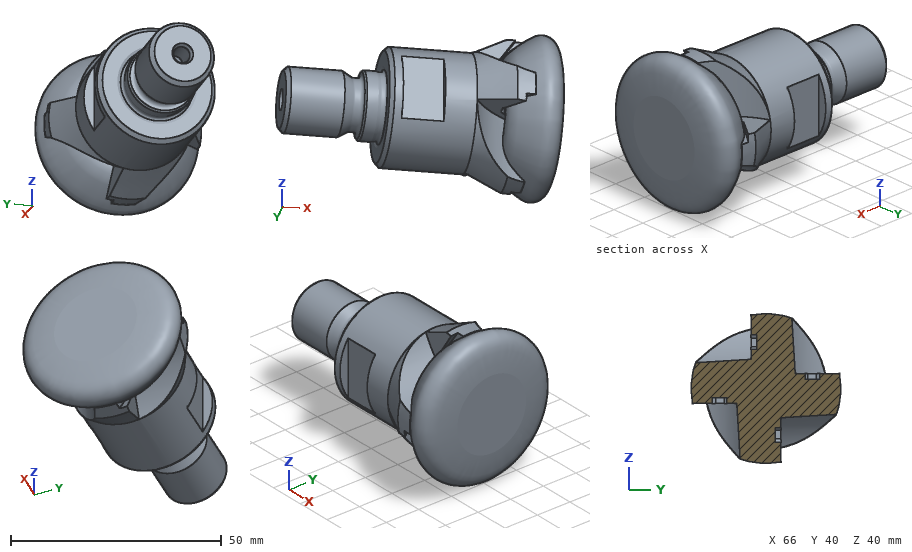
import cadquery as cq
import math

OVERALL_LENGTH = 66.0

STUD_RADIUS = 16.0 / 2
STUD_CHAMFER = 1.05
STUD_END = 14.0
NECK_RADIUS = 13.0 / 2
NECK_CONE_ANGLE = 30.0
NECK_BLEND = 1.0
NECK_END = 17.9
PILOT_START = 18.8
PILOT_RADIUS = 17.0 / 2
PILOT_CHAMFER = 0.45
PILOT_END = 22.05
RELIEF_RADIUS = 16.6 / 2
RELIEF_TAPER_ANGLE = 15.0
RELIEF_BLEND = 0.8
RELIEF_FILLET = 0.65
FACE_RELIEF_RADIUS = 9.8
FACE_RELIEF_DEPTH = 0.25

CENTRE_HOLE_DIAMETER = 4.0
CENTRE_SINK_DIAMETER = 5.15
CENTRE_HOLE_DEPTH = 7.9
CENTRE_SINK_ANGLE = 60.0
DRILL_POINT_ANGLE = 118.0

BODY_START = 23.85
BODY_RADIUS = 29.0 / 2
BODY_CHAMFER = 1.05
FLAT_START = 26.95
FLAT_LENGTH = 10.2
ACROSS_FLATS = 24.0

CONE_START = 44.75
LAND_START = 53.75
LAND_END = 58.15
LAND_RADIUS = 18.75
TOOTH_COUNT = 4
FACE_OFFSET_AT_CONE = 2.8
FACE_OFFSET_AT_LAND = 3.8
FLUTE_TOP = 13.4
FLUTE_MIDDLE_X = 52.3
FLUTE_MIDDLE = 5.95
FLUTE_BOTTOM = 3.55
FLUTE_TILT = 3.4
FLUTE_TILT_OFFSET = 15.85

SEAT_BACK_X = 51.3
SEAT_INNER = 8.9
SEAT_CORNER = 1.0
SEAT_OUTER = 11.95
SEAT_LAND_X = 56.1
SEAT_FLOOR_OFFSET = 2.25

RING_RECESS = (54.8, 7.6)
RING_BACK = (52.3, 11.2)
RING_BACK_CROWN = [(53.6, 14.8), (55.6, 16.65), (58.15, 18.55)]
RING_CREST = (61.5, 39.95 / 2)
RING_END_CROWN = [(63.85, 19.1), (65.4, 16.0)]
RING_END = (OVERALL_LENGTH, 10.55)

CUT_MARGIN = 3.3


def revolve_about_x(profile):
    return profile.close().revolve(360, (0, 0, 0), (1, 0, 0))


def blended_taper(start_x, start_radius, end_radius, angle_degrees, blend_radius):
    """Two points: where a taper meets its tangent blend arc, and where the arc meets the cylinder."""
    angle = math.radians(angle_degrees)
    taper_end_radius = end_radius + blend_radius * (1 - math.cos(angle))
    taper_end_x = start_x + (start_radius - taper_end_radius) / math.tan(angle)
    cylinder_x = taper_end_x + blend_radius * math.sin(angle)
    return (taper_end_x, taper_end_radius), (cylinder_x, end_radius)


def make_shank_and_cone():
    neck_fillet = PILOT_START - NECK_END
    neck_cone_end, neck_start = blended_taper(
        STUD_END, STUD_RADIUS, NECK_RADIUS, NECK_CONE_ANGLE, NECK_BLEND
    )
    relief_taper_end, relief_start = blended_taper(
        PILOT_END, PILOT_RADIUS, RELIEF_RADIUS, RELIEF_TAPER_ANGLE, RELIEF_BLEND
    )
    relief_floor = BODY_START + FACE_RELIEF_DEPTH
    profile = (
        cq.Workplane("XY")
        .moveTo(0, 0)
        .lineTo(0, STUD_RADIUS - STUD_CHAMFER)
        .lineTo(STUD_CHAMFER, STUD_RADIUS)
        .lineTo(STUD_END, STUD_RADIUS)
        .lineTo(*neck_cone_end)
        .radiusArc(neck_start, -NECK_BLEND)
        .lineTo(NECK_END, NECK_RADIUS)
        .radiusArc((PILOT_START, NECK_RADIUS + neck_fillet), -neck_fillet)
        .lineTo(PILOT_START, PILOT_RADIUS - PILOT_CHAMFER)
        .lineTo(PILOT_START + PILOT_CHAMFER, PILOT_RADIUS)
        .lineTo(PILOT_END, PILOT_RADIUS)
        .lineTo(*relief_taper_end)
        .radiusArc(relief_start, -RELIEF_BLEND)
        .lineTo(relief_floor - RELIEF_FILLET, RELIEF_RADIUS)
        .radiusArc((relief_floor, RELIEF_RADIUS + RELIEF_FILLET), -RELIEF_FILLET)
        .lineTo(BODY_START, FACE_RELIEF_RADIUS)
        .lineTo(BODY_START, BODY_RADIUS - BODY_CHAMFER)
        .lineTo(BODY_START + BODY_CHAMFER, BODY_RADIUS)
        .lineTo(CONE_START, BODY_RADIUS)
        .lineTo(LAND_START, LAND_RADIUS)
        .lineTo(LAND_END, LAND_RADIUS)
        .lineTo(LAND_END, 0)
    )
    return revolve_about_x(profile)


def make_ring():
    profile = (
        cq.Workplane("XY")
        .moveTo(RING_RECESS[0], 0)
        .lineTo(*RING_RECESS)
        .spline([RING_BACK, *RING_BACK_CROWN, RING_CREST, *RING_END_CROWN, RING_END], includeCurrent=True)
        .lineTo(OVERALL_LENGTH, 0)
    )
    return revolve_about_x(profile)


def make_centre_hole():
    hole_radius = CENTRE_HOLE_DIAMETER / 2
    sink_radius = CENTRE_SINK_DIAMETER / 2
    sink_depth = (sink_radius - hole_radius) / math.tan(math.radians(CENTRE_SINK_ANGLE / 2))
    point_depth = hole_radius / math.tan(math.radians(DRILL_POINT_ANGLE / 2))
    profile = (
        cq.Workplane("XY")
        .moveTo(0, 0)
        .lineTo(0, sink_radius)
        .lineTo(sink_depth, hole_radius)
        .lineTo(CENTRE_HOLE_DEPTH, hole_radius)
        .lineTo(CENTRE_HOLE_DEPTH + point_depth, 0)
    )
    return revolve_about_x(profile)


def make_wrench_flat(side):
    depth = BODY_RADIUS - ACROSS_FLATS / 2 + CUT_MARGIN
    middle_x = FLAT_START + FLAT_LENGTH / 2
    middle_y = side * (ACROSS_FLATS + depth) / 2
    return cq.Workplane("XY").box(FLAT_LENGTH, depth, 2 * BODY_RADIUS).translate((middle_x, middle_y, 0))


def make_flute():
    """Gap on the -Y side of the upper tooth: its flat face and the curved back of the next tooth."""
    reach = LAND_RADIUS + CUT_MARGIN
    face_slope = (FACE_OFFSET_AT_LAND - FACE_OFFSET_AT_CONE) / (LAND_START - CONE_START)
    end_x = LAND_END + CUT_MARGIN
    end_face_offset = FACE_OFFSET_AT_CONE + face_slope * (end_x - CONE_START)
    beyond_face = (
        cq.Workplane("XY")
        .polyline(
            [
                (CONE_START, -FACE_OFFSET_AT_CONE),
                (end_x, -end_face_offset),
                (end_x, -reach),
                (CONE_START, -reach),
            ]
        )
        .close()
        .extrude(2 * reach)
    )
    above_curve = (
        cq.Workplane("XZ")
        .moveTo(CONE_START, FLUTE_TOP)
        .threePointArc((FLUTE_MIDDLE_X, FLUTE_MIDDLE), (LAND_END, FLUTE_BOTTOM))
        .lineTo(end_x, FLUTE_BOTTOM)
        .lineTo(end_x, reach)
        .lineTo(CONE_START, reach)
        .close()
        .extrude(reach)
    )
    tilt_axis = ((0, -FLUTE_TILT_OFFSET, 0), (1, -FLUTE_TILT_OFFSET, 0))
    return beyond_face.intersect(above_curve.rotate(*tilt_axis, FLUTE_TILT))


def make_insert_seat():
    outer = LAND_RADIUS + CUT_MARGIN
    land_slope = (SEAT_LAND_X - SEAT_BACK_X) / (LAND_RADIUS - SEAT_OUTER)
    return (
        cq.Workplane("XZ", origin=(0, -SEAT_FLOOR_OFFSET, 0))
        .polyline(
            [
                (SEAT_BACK_X + SEAT_CORNER, SEAT_INNER),
                (SEAT_BACK_X, SEAT_INNER + SEAT_CORNER),
                (SEAT_BACK_X, SEAT_OUTER),
                (SEAT_LAND_X + land_slope * CUT_MARGIN, outer),
                (LAND_END + CUT_MARGIN, outer),
                (LAND_END + CUT_MARGIN, SEAT_INNER),
            ]
        )
        .close()
        .extrude(outer)
    )


body = make_shank_and_cone()
flute = make_flute()
seat = make_insert_seat()
for index in range(TOOTH_COUNT):
    angle = index * 360 / TOOTH_COUNT
    body = body.cut(flute.rotate((0, 0, 0), (1, 0, 0), angle))
    body = body.cut(seat.rotate((0, 0, 0), (1, 0, 0), angle))

for side in (-1, 1):
    body = body.cut(make_wrench_flat(side))

result = body.cut(make_centre_hole()).union(make_ring())